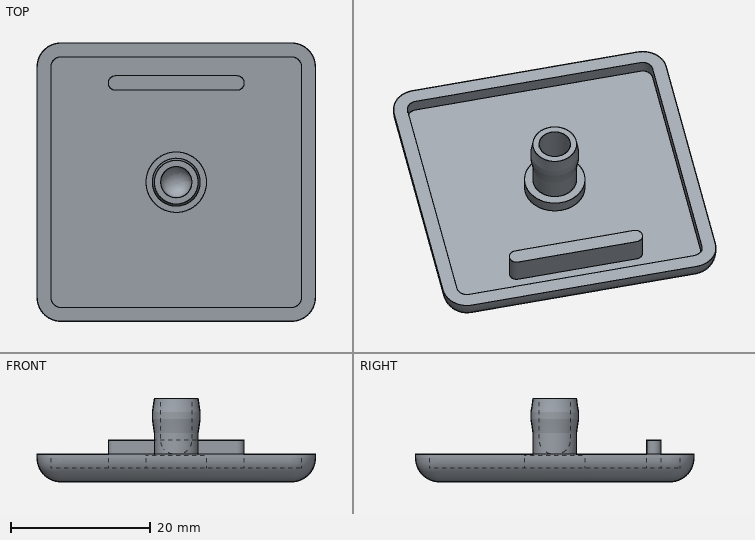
import cadquery as cq

side = 40.0
plate_height = 4.0
straight_edge_height = 0.5
edge_radius = plate_height - straight_edge_height

rim_width = 2.0
floor_z = 2.0
tray_side = side - 2 * rim_width
tray_corner_radius = edge_radius - rim_width

rib_length = 19.5
rib_width = 2.1
rib_y = 14.25
rib_top_z = 6.0

foot_diameter = 8.7
foot_top_z = 3.8
shank_diameter = 6.3
bead_diameter = 6.9
bead_bottom_z = 7.0
bead_band_bottom_z = 9.0
bead_band_top_z = 10.0
pin_top_z = 12.0

bore_diameter = 4.5
bore_flat_diameter = 0.5
bore_depth = 8.0


def make_plate():
    """Plate with equal corner and bottom-edge radii, so its lower corners are ball-shaped."""
    plate = cq.Workplane("XY").rect(side, side).extrude(plate_height)
    return plate.edges("|Z").fillet(edge_radius).faces("<Z").edges().fillet(edge_radius)


def make_tray():
    tray = cq.Workplane("XY", origin=(0, 0, floor_z)).rect(tray_side, tray_side)
    return tray.extrude(plate_height - floor_z).edges("|Z").fillet(tray_corner_radius)


def make_rib():
    rib = cq.Workplane("XY", origin=(0, rib_y, floor_z)).slot2D(rib_length, rib_width)
    return rib.extrude(rib_top_z - floor_z)


def make_pin():
    """Foot, shank and tapered bead as one turned profile."""
    foot_radius = foot_diameter / 2
    shank_radius = shank_diameter / 2
    bead_radius = bead_diameter / 2
    profile = (
        cq.Workplane("XZ")
        .moveTo(0, floor_z)
        .lineTo(foot_radius, floor_z)
        .lineTo(foot_radius, foot_top_z)
        .lineTo(shank_radius, foot_top_z)
        .lineTo(shank_radius, bead_bottom_z)
        .lineTo(bead_radius, bead_band_bottom_z)
        .lineTo(bead_radius, bead_band_top_z)
        .lineTo(shank_radius, pin_top_z)
        .lineTo(0, pin_top_z)
        .close()
    )
    return profile.revolve(360, (0, 0, 0), (0, 1, 0))


def make_bore():
    bore = cq.Workplane("XY", origin=(0, 0, pin_top_z - bore_depth)).circle(bore_diameter / 2)
    bottom_radius = (bore_diameter - bore_flat_diameter) / 2
    return bore.extrude(bore_depth).faces("<Z").edges().fillet(bottom_radius)


result = make_plate().cut(make_tray()).union(make_rib()).union(make_pin()).cut(make_bore())